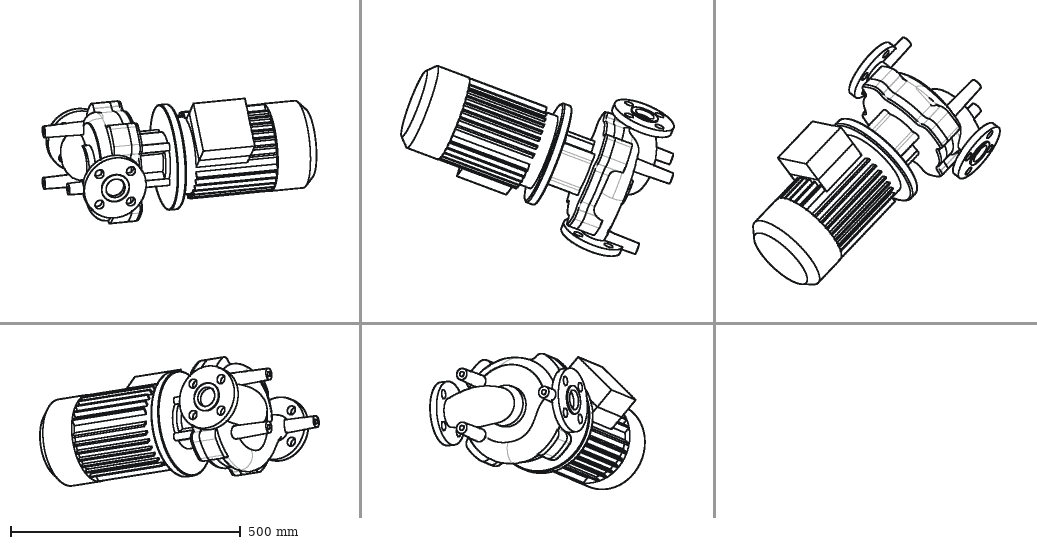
import cadquery as cq
import math


motor_flange_radius = 115.5
motor_flange_front = 151.0
motor_flange_back = 172.0
motor_flange_back_bevel = 3.5
motor_flange_front_bevel = 2.0
frame_radius = 84.0
fin_front = 201.0
cowl_radius = 96.0
cowl_front = 383.5
cowl_back = 476.0
cowl_bevel = 19.0

fin_tip_radius = 95.0
fin_pitch = 17.5
fin_count = 7
fin_thickness = 3.5
diagonals = (45, 135, 225, 315)
box_diagonal = 45

box_half_width = 57.5
box_back = 318.0
lid_bottom = 97.0
lid_top = 146.0

lantern_radius = 56.0
core_radius = 36.5
spigot_length = 10.5
window_half_angle = 35
rail_radius = 8.5
rail_x = 42.0
rail_z = 40.5
rail_root_rounding = 6.0

casing_radius = 111.0
lug_reach = 136.0
lug_half_width = 36.0
lug_rounding = 17.5
cover_back = 72.0
cover_front = 48.5
cover_bevel = (2.0, 5.0)
lug_front = 8.5
crown_rounding = 21.0
face_radius = 91.0
face_height = 2.5
boss_radius = 45.0
boss_drop = 3.0
boss_front = -29.0

tongue_angle = 60
throat_angle = 270
tongue_channel_radius = 19.0
throat_channel_radius = 29.0
tongue_path_radius = casing_radius - crown_rounding
throat_path_radius = 96.0
tongue_channel_y = lug_front
throat_channel_y = 11.0
volute_sections = 8
outlet_bend_x = 85.0
outlet_bend_z = -46.0

inlet_face_x = -165.0
outlet_face_x = 155.0
flange_places = ((inlet_face_x, 1), (outlet_face_x, -1))
flange_radius = 70.0
flange_thickness = 16.0
raised_face_radius = 31.0
raised_face_height = 3.0
bolt_circle_radius = 50.0
bolt_hole_radius = 10.0
bolt_count = 4
first_bolt_angle = 45
bore_radius = 21.5
bore_depth = 11.5

inlet_sections = (
    (inlet_face_x + flange_thickness, -3.5, 31.0, 30.0, 0),
    (-112.5, -15.0, 40.0, 30.5, -17),
    (-69.0, -29.5, 44.5, 32.5, -15),
    (-26.5, -33.0, 41.5, 32.5, 35),
    (-13.0, 8.5, 37.0, 34.5, 90),
)

pump_length = 576.5
foot_end_y = cowl_back - pump_length
foot_root_y = 0.0
foot_end_radius = 12.5
foot_root_radius = 15.0
foot_hole_radius = 5.0
foot_hole_depth = 17.5
inlet_foot_x = -68.0
inlet_foot_z = 60.0
outlet_foot_x = 132.5
foot_places = (
    (inlet_foot_x, inlet_foot_z),
    (inlet_foot_x, -inlet_foot_z),
    (outlet_foot_x, 0),
)


def disc(radius, front, back, z=0):
    """Cylinder parallel to the shaft, from Y = front to Y = back."""
    return cq.Workplane("XZ", origin=(0, back, z)).circle(radius).extrude(back - front)


def diagonal_block(inner, outer, half_width, front, back, angle, shift=0):
    """Block from inner to outer along a diagonal of the XZ plane, shifted sideways."""
    block = cq.Workplane("XY").box(outer - inner, back - front, 2 * half_width)
    block = block.translate(((inner + outer) / 2, (front + back) / 2, shift))
    return block.rotate((0, 0, 0), (0, 1, 0), -angle)


def make_motor_frame():
    flange = disc(motor_flange_radius, motor_flange_front, motor_flange_back)
    flange = flange.faces(">Y").chamfer(motor_flange_back_bevel)
    flange = flange.faces("<Y").chamfer(motor_flange_front_bevel)
    frame = flange.union(disc(frame_radius, motor_flange_back, cowl_front))
    bundle_half = (fin_count - 1) / 2
    envelope = disc(fin_tip_radius, fin_front, cowl_front)
    for angle in diagonals:
        front = box_back if angle == box_diagonal else fin_front
        for index in range(fin_count):
            shift = (index - bundle_half) * fin_pitch
            fin = diagonal_block(
                0, fin_tip_radius, fin_thickness / 2, front, cowl_front, angle, shift,
            )
            frame = frame.union(fin.intersect(envelope))
    return frame


def make_fan_cowl():
    return disc(cowl_radius, cowl_front, cowl_back).faces(">Y").chamfer(cowl_bevel)


def make_terminal_box():
    box = diagonal_block(0, lid_bottom, box_half_width, fin_front, box_back, box_diagonal)
    return box.cut(disc(frame_radius, fin_front, box_back))


def make_terminal_lid():
    return diagonal_block(lid_bottom, lid_top, box_half_width, fin_front, box_back, box_diagonal)


def make_lantern():
    tube = disc(lantern_radius, cover_back, motor_flange_front)
    rails = (
        cq.Workplane("XZ", origin=(0, motor_flange_front, 0))
        .rect(2 * rail_x, 2 * rail_z, forConstruction=True)
        .vertices()
        .circle(rail_radius)
        .extrude(motor_flange_front - cover_back)
    )
    rail_roots = cq.selectors.BoxSelector(
        (-rail_x, cover_back, -lantern_radius), (rail_x, motor_flange_front, lantern_radius),
    )
    lantern = tube.union(rails).edges("|Y").edges(rail_roots).fillet(rail_root_rounding)
    window_back = motor_flange_front - spigot_length
    window_x = 2 * lantern_radius
    window_z = window_x * math.tan(math.radians(window_half_angle))
    core = disc(core_radius, cover_back, window_back)
    for side in (-1, 1):
        window = (
            cq.Workplane("XZ", origin=(0, window_back, 0))
            .polyline([(0, 0), (side * window_x, window_z), (side * window_x, -window_z)])
            .close()
            .extrude(window_back - cover_back)
        )
        lantern = lantern.cut(window.cut(core))
    return lantern


def lobed_slab(front, back):
    """Round slab with four rounded lugs on its diagonals."""
    slab = disc(casing_radius, front, back)
    lug_limit = disc(lug_reach, front, back)
    for angle in diagonals:
        lug = diagonal_block(0, lug_reach, lug_half_width, front, back, angle)
        slab = slab.union(lug.intersect(lug_limit))
    return slab.edges("|Y").fillet(lug_rounding)


def make_cover():
    cover = lobed_slab(cover_front, cover_back)
    return cover.faces(">Y").chamfer(*cover_bevel)


def make_volute():
    sections = []
    for index in range(volute_sections + 1):
        share = index / volute_sections
        angle = math.radians(tongue_angle + share * (throat_angle - tongue_angle))
        path_radius = tongue_path_radius + share * (throat_path_radius - tongue_path_radius)
        channel_radius = (
            tongue_channel_radius + share * (throat_channel_radius - tongue_channel_radius)
        )
        channel_y = tongue_channel_y + share * (throat_channel_y - tongue_channel_y)
        centre = cq.Vector(path_radius * math.cos(angle), channel_y, path_radius * math.sin(angle))
        heading = cq.Vector(-math.sin(angle), 0, math.cos(angle))
        sections.append(cq.Wire.makeCircle(channel_radius, centre, heading))
    return cq.Workplane(cq.Solid.makeLoft(sections))


def make_outlet_pipe():
    path = cq.Workplane(cq.Edge.makeSpline(
        [
            cq.Vector(0, throat_channel_y, -throat_path_radius),
            cq.Vector(outlet_bend_x, throat_channel_y / 2, outlet_bend_z),
            cq.Vector(outlet_face_x - flange_thickness, 0, 0),
        ],
        tangents=[cq.Vector(1, 0, 0), cq.Vector(1, 0, 0)],
    ))
    section = cq.Workplane("YZ", origin=(0, throat_channel_y, -throat_path_radius))
    return section.circle(throat_channel_radius).sweep(path)


def make_inlet_pipe():
    sections = []
    for x, y, half_width, half_depth, heading in inlet_sections:
        turn = math.radians(heading)
        sections.append(cq.Wire.makeEllipse(
            half_width, half_depth,
            center=cq.Vector(x, y, 0),
            normal=cq.Vector(math.cos(turn), math.sin(turn), 0),
            xDir=cq.Vector(0, 0, -1),
        ))
    return cq.Workplane(cq.Solid.makeLoft(sections))


def make_pipe_flange(face_x, inward):
    """Drilled flange with a raised face at X = face_x; inward is +1 or -1 along X."""
    plate_x = face_x + inward * raised_face_height
    raised = cq.Workplane("YZ", origin=(face_x, 0, 0)).circle(raised_face_radius)
    plate = (
        cq.Workplane("YZ", origin=(plate_x, 0, 0))
        .circle(flange_radius)
        .polarArray(bolt_circle_radius, first_bolt_angle, 360, bolt_count)
        .circle(bolt_hole_radius)
        .extrude(inward * flange_thickness)
    )
    return plate.union(raised.extrude(inward * raised_face_height))


def make_casing():
    crown_front = lug_front - crown_rounding
    face_front = crown_front - face_height
    crown = disc(casing_radius, crown_front, cover_front).faces("<Y").edges().fillet(crown_rounding)
    casing = lobed_slab(lug_front, cover_front).union(crown)
    casing = casing.union(disc(face_radius, face_front, lug_front))
    casing = casing.union(disc(boss_radius, boss_front, lug_front, -boss_drop))
    for part in (make_volute(), make_outlet_pipe(), make_inlet_pipe()):
        casing = casing.union(part)
    for face_x, inward in flange_places:
        casing = casing.union(make_pipe_flange(face_x, inward))
    return casing


def drill_bores(casing):
    for face_x, inward in flange_places:
        bore = cq.Workplane("YZ", origin=(face_x, 0, 0)).circle(bore_radius)
        casing = casing.cut(bore.extrude(inward * bore_depth))
    return casing


def make_foot(x, z, casing):
    """Tapered foot with a blind hole in its end, fitted to the outside of the casing."""
    length = foot_root_y - foot_end_y
    foot = cq.Workplane(cq.Solid.makeCone(
        foot_end_radius, foot_root_radius, length,
        pnt=cq.Vector(x, foot_end_y, z), dir=cq.Vector(0, 1, 0),
    ))
    hole = disc(foot_hole_radius, foot_end_y, foot_end_y + foot_hole_depth, z).translate((x, 0, 0))
    return foot.cut(hole).cut(casing)


motor_frame = make_motor_frame()
fan_cowl = make_fan_cowl()
terminal_box = make_terminal_box()
terminal_lid = make_terminal_lid()
lantern = make_lantern()
cover = make_cover()
undrilled_casing = make_casing()
casing = drill_bores(undrilled_casing)
feet = [make_foot(x, z, undrilled_casing).val() for x, z in foot_places]

result = cq.Compound.makeCompound([
    motor_frame.val(),
    fan_cowl.val(),
    terminal_box.val(),
    terminal_lid.val(),
    lantern.val(),
    cover.val(),
    casing.val(),
    *feet,
])